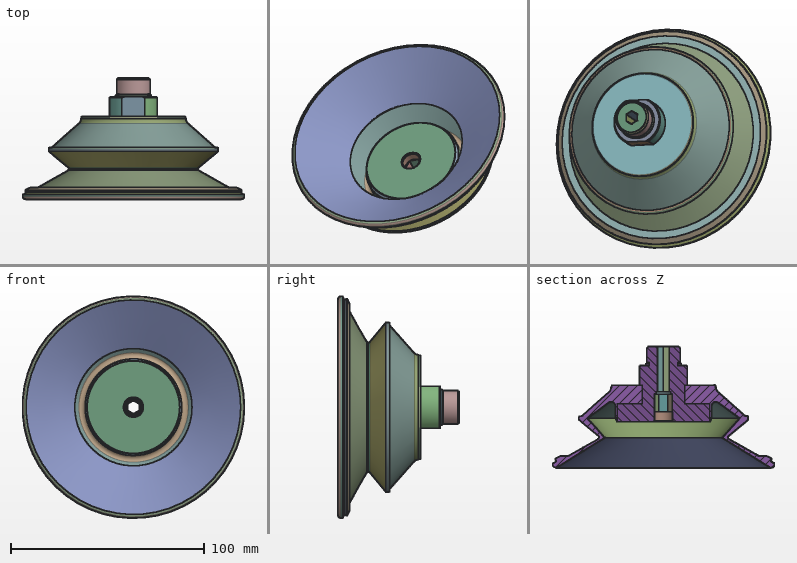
import cadquery as cq
import math


lip_radius = 57.5
lip_edge_radius = 55.5
lip_face_radius = 56.7
lip_face_rise = 0.3
lip_round_middle = (57.3, 0.9)
lip_round_top = 1.6
lip_band_top = 2.5
groove_radius = 55.7
groove_y = 3.5
bead_radius = 56.1
bead_bottom = 4.4
bead_top = 5.0
ledge_outer_radius = 53.4
ledge_inner_radius = 49.5
ledge_y = 6.3

waist_radius = 33.5
waist_y = 15.9
waist_half_height = 0.8
waist_round_depth = 0.5
waist_round_middle = (33.6, 16.3)
fold_radius = 43.9
fold_bottom = 25.0
fold_top = 27.0
fold_edge_fillet = 0.7
fold_ledge_radius = 42.3

collar_radius = 27.3
collar_top = 43.0
collar_band_radius = 27.0
collar_band_bottom = 41.9
collar_edge_fillet = 0.6
collar_flare_radius = 28.2
collar_flare_bottom = 39.6
collar_flare_middle = (27.5, 40.6)

throat_radius = 30.4
throat_y = 15.6
cavity_radius = 39.5
cavity_y = 25.8
cavity_roof_angle = 36.0
gutter_radius = 2.1
boss_radius = 25.1
boss_rim_radius = 24.2
boss_rim_drop = 2.2

disc_radius = 23.9
disc_face = 23.9
disc_thickness = 9.2
neck_radius = 10.9
hub_radius = 12.4
hub_top = 53.1
hub_chamfer = 0.5
hub_flats_width = 2 * neck_radius
stud_radius = 8.7
stud_top = 63.0
stud_chamfer = 0.9
stud_bottom = 54.6
relief_radius = 7.5

bore_radius = 4.6
bore_chamfer = 0.6
bore_depth = 5.2
socket_width = 7.9
socket_turn = 0
socket_depth = 9.2
lead_in_radius = 3.7
lead_in_depth = 1.2
passage_width = 6.0
passage_turn = 30

seal_radius = 9.3
seal_top = 54.2
seal_edge_fillet = 0.5


def revolve_about_y(profile):
    return profile.close().revolve(360, (0, 0, 0), (0, 1, 0))


def rounded_corner_middle(corner_radius, corner_y, fillet):
    """Middle of the arc that rounds an outer corner toward the axis and toward -Y."""
    inset = fillet * (1 - math.sqrt(0.5))
    return (corner_radius - inset, corner_y - inset)


def make_bellows():
    roof_turn = math.radians(cavity_roof_angle)
    gutter_center_radius = boss_radius + gutter_radius
    roof_start_radius = gutter_center_radius + gutter_radius * math.sin(roof_turn)
    roof_start_y = cavity_y + (cavity_radius - roof_start_radius) * math.tan(roof_turn)
    gutter_center_y = roof_start_y - gutter_radius * math.cos(roof_turn)
    waist_end_radius = waist_radius + waist_round_depth
    profile = (
        cq.Workplane("XY")
        .moveTo(lip_edge_radius, 0)
        .lineTo(lip_face_radius, lip_face_rise)
        .threePointArc(lip_round_middle, (lip_radius, lip_round_top))
        .lineTo(lip_radius, lip_band_top)
        .lineTo(groove_radius, groove_y)
        .lineTo(bead_radius, bead_bottom)
        .lineTo(bead_radius, bead_top)
        .lineTo(ledge_outer_radius, ledge_y)
        .lineTo(ledge_inner_radius, ledge_y)
        .lineTo(waist_end_radius, waist_y - waist_half_height)
        .lineTo(waist_radius, waist_y)
        .threePointArc(waist_round_middle, (waist_end_radius, waist_y + waist_half_height))
        .lineTo(fold_radius, fold_bottom)
        .lineTo(fold_radius, fold_top - fold_edge_fillet)
        .threePointArc(
            rounded_corner_middle(fold_radius, fold_top, fold_edge_fillet),
            (fold_radius - fold_edge_fillet, fold_top),
        )
        .lineTo(fold_ledge_radius, fold_top)
        .lineTo(collar_flare_radius, collar_flare_bottom)
        .threePointArc(collar_flare_middle, (collar_radius, collar_band_bottom))
        .lineTo(collar_band_radius, collar_band_bottom)
        .lineTo(collar_band_radius, collar_top - collar_edge_fillet)
        .threePointArc(
            rounded_corner_middle(collar_band_radius, collar_top, collar_edge_fillet),
            (collar_band_radius - collar_edge_fillet, collar_top),
        )
        .lineTo(neck_radius, collar_top)
        .lineTo(neck_radius, disc_face + disc_thickness)
        .lineTo(disc_radius, disc_face + disc_thickness)
        .lineTo(disc_radius, disc_face)
        .lineTo(boss_rim_radius, disc_face)
        .lineTo(boss_radius, disc_face + boss_rim_drop)
        .lineTo(boss_radius, gutter_center_y)
        .threePointArc(
            (gutter_center_radius, gutter_center_y + gutter_radius),
            (roof_start_radius, roof_start_y),
        )
        .lineTo(cavity_radius, cavity_y)
        .lineTo(throat_radius, throat_y)
    )
    return revolve_about_y(profile)


def hexagon_prism(width, turn, start, end):
    """Hexagonal prism along Y; turn 0 puts a corner on the X axis."""
    corner_diameter = width / math.cos(math.pi / 6)
    prism = cq.Workplane("XZ", origin=(0, end, 0)).polygon(6, corner_diameter).extrude(end - start)
    return prism.rotate((0, 0, 0), (0, 1, 0), turn)


def make_fitting():
    profile = (
        cq.Workplane("XY")
        .moveTo(0, disc_face)
        .lineTo(disc_radius, disc_face)
        .lineTo(disc_radius, disc_face + disc_thickness)
        .lineTo(neck_radius, disc_face + disc_thickness)
        .lineTo(neck_radius, collar_top)
        .lineTo(hub_radius, collar_top)
        .lineTo(hub_radius, hub_top - hub_chamfer)
        .lineTo(hub_radius - hub_chamfer, hub_top)
        .lineTo(relief_radius, hub_top)
        .lineTo(relief_radius, stud_bottom)
        .lineTo(stud_radius, stud_bottom)
        .lineTo(stud_radius, stud_top - stud_chamfer)
        .lineTo(stud_radius - stud_chamfer, stud_top)
        .lineTo(0, stud_top)
    )
    fitting = revolve_about_y(profile)

    hub_height = hub_top - collar_top
    for side in (1, -1):
        block_center = (0, collar_top + hub_height / 2, side * (hub_flats_width + hub_radius) / 2)
        block = cq.Workplane("XY", origin=block_center).box(2 * hub_radius, hub_height, hub_radius)
        fitting = fitting.cut(block)

    bore_end = disc_face + bore_depth
    bore_profile = (
        cq.Workplane("XY")
        .moveTo(0, disc_face)
        .lineTo(bore_radius + bore_chamfer, disc_face)
        .lineTo(bore_radius, disc_face + bore_chamfer)
        .lineTo(bore_radius, bore_end)
        .lineTo(0, bore_end)
    )
    fitting = fitting.cut(revolve_about_y(bore_profile))

    socket_end = bore_end + socket_depth
    fitting = fitting.cut(hexagon_prism(socket_width, socket_turn, bore_end, socket_end))
    lead_in_end = socket_end + lead_in_depth
    lead_in = (
        cq.Workplane("XZ", origin=(0, lead_in_end, 0)).circle(lead_in_radius).extrude(lead_in_depth)
    )
    fitting = fitting.cut(lead_in)
    return fitting.cut(hexagon_prism(passage_width, passage_turn, lead_in_end, stud_top))


def make_seal_ring():
    ring = (
        cq.Workplane("XZ", origin=(0, seal_top, 0))
        .circle(seal_radius)
        .circle(relief_radius)
        .extrude(seal_top - hub_top)
    )
    outer_edge = cq.selectors.RadiusNthSelector(-1)
    return ring.faces(">Y").edges(outer_edge).fillet(seal_edge_fillet)


bellows = make_bellows()
fitting = make_fitting()
seal_ring = make_seal_ring()
result = cq.Compound.makeCompound([bellows.val(), fitting.val(), seal_ring.val()])